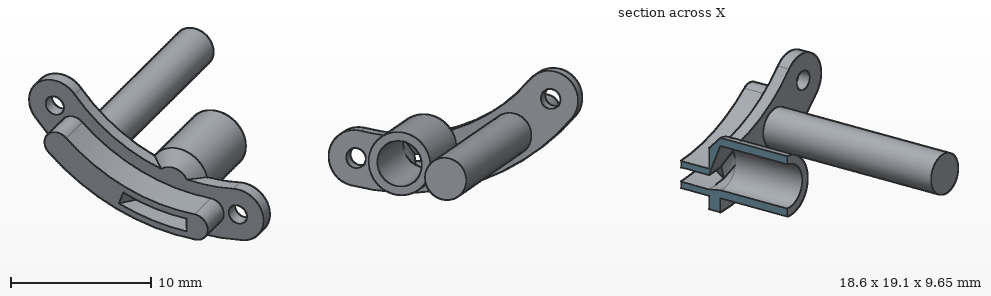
import cadquery as cq
import math

TRACK_RADIUS = 15.24
TRACK_MIDDLE = 250.0

PLATE_HALF_SPAN = 30.5
PLATE_WIDTH = 4.1
PLATE_HALF_WIDTH = PLATE_WIDTH / 2
PLATE_THICKNESS = 1.05
SCREW_HOLE_RADIUS = 0.72

RAIL_HALF_SPAN = 22.4
RAIL_HALF_WIDTH = 1.03
RAIL_HEIGHT = 2.6

TOTAL_LENGTH = 19.05
ROD_RADIUS = 1.55
ROD_ANGLE = 234.8
ROD_LENGTH = TOTAL_LENGTH - PLATE_THICKNESS - RAIL_HEIGHT

WINDOW_START = 250.0
WINDOW_END = 270.0
WINDOW_HALF_WIDTH = 0.51
THROAT_INSET = 5.0
TUBE_TRACK_RADIUS = 13.95
TUBE_ANGLE = (WINDOW_START + WINDOW_END) / 2
TUBE_RADIUS = 2.3
TUBE_LENGTH = 6.15
TUBE_TIP_RADIUS = 1.3
BORE_RADIUS = 1.65

PLATE_FRONT = -PLATE_THICKNESS
RAIL_FRONT = PLATE_FRONT - RAIL_HEIGHT


def polar(radius, angle):
    """X and Z of a point at the given radius and angle about the arc axis."""
    turn = math.radians(angle)
    return radius * math.cos(turn), radius * math.sin(turn)


def xz_plane(y):
    """Sketch plane with X and Z as its axes; positive extrusion runs toward -Y."""
    return cq.Workplane("XZ", origin=(0, y, 0))


def curved_bar(back, height, half_span, half_width):
    """Arc-shaped bar with round ends, reaching from Y = back toward -Y."""
    start = TRACK_MIDDLE - half_span
    end = TRACK_MIDDLE + half_span
    inner = TRACK_RADIUS - half_width
    outer = TRACK_RADIUS + half_width
    start_tip_x, start_tip_z = polar(TRACK_RADIUS, start)
    end_tip_x, end_tip_z = polar(TRACK_RADIUS, end)
    start_dx, start_dz = polar(half_width, start - 90)
    end_dx, end_dz = polar(half_width, end + 90)
    return (
        xz_plane(back)
        .moveTo(*polar(outer, start))
        .threePointArc(polar(outer, TRACK_MIDDLE), polar(outer, end))
        .threePointArc((end_tip_x + end_dx, end_tip_z + end_dz), polar(inner, end))
        .threePointArc(polar(inner, TRACK_MIDDLE), polar(inner, start))
        .threePointArc((start_tip_x + start_dx, start_tip_z + start_dz), polar(outer, start))
        .close()
        .extrude(height)
    )


def post(radius, length, center):
    """Round post standing on the plate back."""
    return xz_plane(0).center(*center).circle(radius).extrude(-length)


def tube_tip():
    """Cone that narrows the tube through the plate thickness."""
    return (
        xz_plane(0)
        .center(*tube_center)
        .circle(TUBE_RADIUS)
        .workplane(offset=PLATE_THICKNESS)
        .circle(TUBE_TIP_RADIUS)
        .loft()
    )


def window_outline(sketch, inset):
    """Add a curved slot outline, shortened at both ends by the inset angle."""
    start = WINDOW_START + inset
    end = WINDOW_END - inset
    inner = TRACK_RADIUS - WINDOW_HALF_WIDTH
    outer = TRACK_RADIUS + WINDOW_HALF_WIDTH
    return (
        sketch.moveTo(*polar(outer, start))
        .threePointArc(polar(outer, TUBE_ANGLE), polar(outer, end))
        .lineTo(*polar(inner, end))
        .threePointArc(polar(inner, TUBE_ANGLE), polar(inner, start))
        .close()
    )


def rail_passage():
    """Slot through the rail, its end walls tapering in toward the plate."""
    window = window_outline(xz_plane(RAIL_FRONT), 0)
    return window_outline(window.workplane(offset=-RAIL_HEIGHT), THROAT_INSET).loft(ruled=True)


def plate_passage():
    """Passage through the plate, blending from the slot throat to the round bore."""
    throat = window_outline(xz_plane(PLATE_FRONT), THROAT_INSET)
    return (
        throat.workplane(offset=-PLATE_THICKNESS)
        .moveTo(*tube_center)
        .circle(BORE_RADIUS)
        .loft()
    )


tube_center = polar(TUBE_TRACK_RADIUS, TUBE_ANGLE)
screw_centers = [
    polar(TRACK_RADIUS, TRACK_MIDDLE + side * PLATE_HALF_SPAN) for side in (-1, 1)
]

plate = curved_bar(0, PLATE_THICKNESS, PLATE_HALF_SPAN, PLATE_HALF_WIDTH)
rail = curved_bar(PLATE_FRONT, RAIL_HEIGHT, RAIL_HALF_SPAN, RAIL_HALF_WIDTH)
rod = post(ROD_RADIUS, ROD_LENGTH, polar(TRACK_RADIUS, ROD_ANGLE))
tube = post(TUBE_RADIUS, TUBE_LENGTH, tube_center).union(tube_tip())
bore = post(BORE_RADIUS, TUBE_LENGTH, tube_center)
screw_holes = (
    xz_plane(0).pushPoints(screw_centers).circle(SCREW_HOLE_RADIUS).extrude(PLATE_THICKNESS)
)

body = plate.union(rail).union(rod).union(tube)
result = body.cut(screw_holes).cut(bore).cut(rail_passage()).cut(plate_passage())